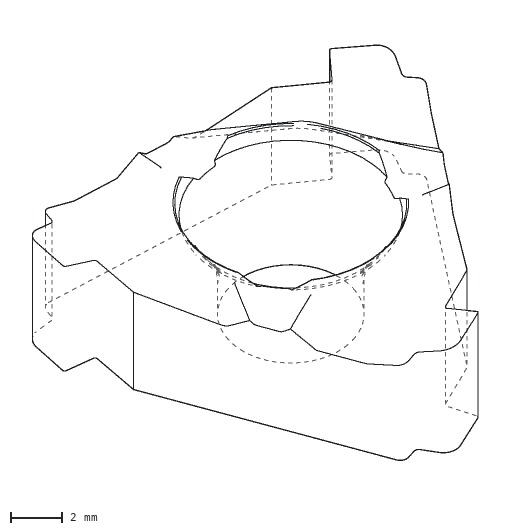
import cadquery as cq
import math

height = 5.84
side_distance = 6.34
corner_angles = (0, 120, 240)
third_turn = math.radians(120)

bore_radius = 2.85
bell_bottom = 2.02
bell_radius = 3.93
bell_top = 4.74
bell_sweep = math.radians(45)
step_radius = 4.02
step_height = 4.95
ledge_radius = 4.12
ledge_height = 5.06
recess_foot_radius = 4.34
recess_foot_height = 5.17
recess_radius = 4.52

floor_height = 4.61
land_start = -5.71
land_angle = math.radians(15)
land_foot_radius = 0.45
foot_bend = (-1.19, -5.57)
foot_turn = math.radians(20.8)
crest_bend = (-1.3, -4.63)
crest_turn = math.radians(29)
bend_setback = 0.45
wall_foot_radius = 0.15
pocket_left = -6.66
pocket_right = 5.76
pocket_outer = -10.8
overcut = 0.18

slot_angle = 195
slot_floor_height = 5.08
slot_floor_start = -0.65
slot_floor_end = 0.43
slot_wall_run = 0.95
slot_foot_radius = 0.27
slot_inner = 2.7
slot_outer = 8.1

crest_radius = 0.07

shoulder_round = ((-side_distance, -6.97), (-6.23, -7.22), (-6.02, -7.33))
notch_round = ((-5.62, -7.4), (-5.5, -7.47), (-5.44, -7.64))
nose_round = ((-5.33, -8.28), (-5.08, -8.77), (-4.57, -8.95))
tip_round = ((-2.9, -8.99), (-2.85, -8.97), (-2.81, -8.91))
tooth_root = -7.51
root_round = ((-2.72, -7.65), (-2.68, -7.55), (-2.55, tooth_root))


def corner_blank():
    """Prism of one toothed corner, reaching in to the hole axis."""
    root_end_x = (side_distance + tooth_root * math.sin(third_turn)) / -math.cos(third_turn)
    side_end_y = tooth_root * math.cos(third_turn) - root_end_x * math.sin(third_turn)
    outline = cq.Workplane("XY").lineTo(-side_distance, side_end_y)
    for start, middle, end in (shoulder_round, notch_round, nose_round, tip_round, root_round):
        outline = outline.lineTo(*start).threePointArc(middle, end)
    return outline.lineTo(root_end_x, tooth_root).close().extrude(height)


def pocket_outline(plane_height, bend, turn):
    """Pocket outline at one height; the wall turns by the given angle at a rounded bend."""
    bend_x, bend_y = bend
    left_y = bend_y + (bend_x - pocket_left) * math.tan(turn)
    arc_start = (bend_x - bend_setback * math.cos(turn), bend_y + bend_setback * math.sin(turn))
    arc_end = (bend_x + bend_setback, bend_y)
    arc_radius = bend_setback / math.tan(turn / 2)
    arc_middle = (
        arc_end[0] - arc_radius * math.sin(turn / 2),
        bend_y + arc_radius * (1 - math.cos(turn / 2)),
    )
    outline = (
        cq.Workplane("XY", origin=(0, 0, plane_height))
        .moveTo(pocket_left, pocket_outer)
        .lineTo(pocket_left, left_y)
        .lineTo(*arc_start)
        .threePointArc(arc_middle, arc_end)
        .lineTo(pocket_right, bend_y)
        .lineTo(pocket_right, pocket_outer)
        .close()
    )
    return outline.val()


def land_wedge():
    """Material left standing in the pocket under the rising land."""
    land_end = pocket_outer - overcut
    land_rise = (land_start - land_end) * math.tan(land_angle)
    return (
        cq.Workplane("YZ", origin=(pocket_left - overcut, 0, 0))
        .polyline([
            (land_start, floor_height),
            (land_end, floor_height + land_rise),
            (land_end, floor_height - overcut),
            (land_start, floor_height - overcut),
        ])
        .close()
        .extrude(pocket_right - pocket_left + 2 * overcut)
    )


def corner_pocket():
    """Cutter for one corner pocket, with rounded feet of the land and the wall."""
    foot = pocket_outline(floor_height, foot_bend, foot_turn)
    crest = pocket_outline(height, crest_bend, crest_turn)
    pocket = cq.Workplane(cq.Solid.makeLoft([foot, crest], True)).cut(land_wedge())
    pocket = pocket.faces("<Z").edges("<Y").fillet(land_foot_radius)
    return pocket.faces("<Z").edges("%CIRCLE").fillet(wall_foot_radius)


def chip_slot():
    """Cutter for one chip slot with sloped walls and rounded floor edges."""
    return (
        cq.Workplane("YZ", origin=(slot_inner, 0, 0))
        .polyline([
            (slot_floor_start, slot_floor_height),
            (slot_floor_end, slot_floor_height),
            (slot_floor_end + slot_wall_run, height),
            (slot_floor_start - slot_wall_run, height),
        ])
        .close()
        .extrude(slot_outer - slot_inner)
        .edges("|X and <Z")
        .fillet(slot_foot_radius)
        .rotate((0, 0, 0), (0, 0, 1), slot_angle)
    )


def central_hole():
    """Cutter for the bore, bell, step and recess, turned about Z."""
    bell_arc = (bell_radius - bore_radius) / (1 - math.cos(bell_sweep))
    bell_middle = (
        bore_radius + bell_arc * (1 - math.cos(bell_sweep / 2)),
        bell_bottom + bell_arc * math.sin(bell_sweep / 2),
    )
    return (
        cq.Workplane("XZ")
        .lineTo(bore_radius, 0)
        .lineTo(bore_radius, bell_bottom)
        .threePointArc(bell_middle, (bell_radius, bell_top))
        .lineTo(step_radius, step_height)
        .tangentArcPoint((ledge_radius, ledge_height), relative=False)
        .lineTo(recess_foot_radius, recess_foot_height)
        .lineTo(recess_radius, height)
        .lineTo(0, height)
        .close()
        .revolve(360, (0, 0, 0), (0, 1, 0))
    )


def at_corner(shape, angle):
    """The shape turned about the hole axis to one corner."""
    return shape.rotate((0, 0, 0), (0, 0, 1), angle)


blank = corner_blank()
pocket_cutter = corner_pocket()
slot_cutter = chip_slot()

body = cq.Workplane("XY")
for angle in corner_angles:
    body = body.union(at_corner(blank, angle))
for angle in corner_angles:
    body = body.cut(at_corner(pocket_cutter, angle))
    body = body.cut(at_corner(slot_cutter, angle))
body = body.cut(central_hole())

result = body.faces(">Z").edges().fillet(crest_radius)